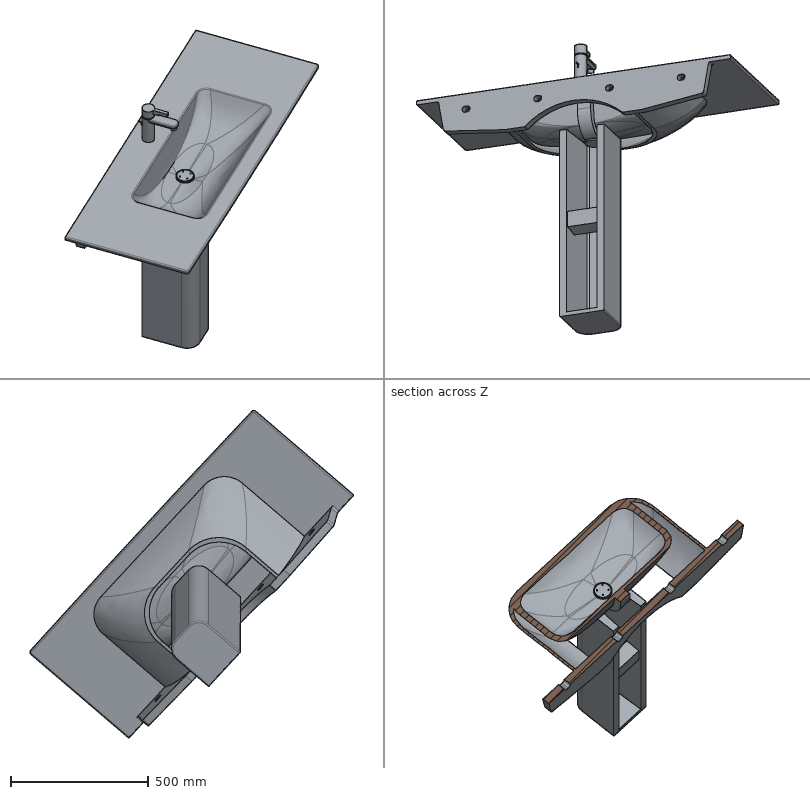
import cadquery as cq
import math


TOTAL_HEIGHT = 1042.0
DECK_LENGTH = 1230.0
DECK_DEPTH_MIDDLE = 490.0
DECK_DEPTH_ENDS = 486.0
DECK_TOP = 893.0
DECK_THICKNESS = 16.0
DECK_CORNER_RADIUS = 10.0
DECK_EDGE_ROUND = 5.0
DECK_BOTTOM = DECK_TOP - DECK_THICKNESS

BASIN_BOTTOM = 730.0

APRON_THICKNESS = 31.0
APRON_HALF_TOP = 529.0
APRON_HALF_LOW = 508.0
APRON_CORNER_Z = 759.0
APRON_CORNER_RADIUS = 9.0
APRON_HALF_FLAT = 268.0
ARCH_HALF_WIDTH = 191.0
ARCH_TOP = 805.0

MOUNT_HOLE_LENGTH = 30.0
MOUNT_HOLE_HEIGHT = 23.0
MOUNT_HOLE_Z = 833.0
MOUNT_HOLE_PITCH = 280.0
MOUNT_HOLE_COUNT = 4

DRAIN_X = 215.0
BOWL_BACK = 137.0
BOWL_FRONT = 426.0
BOWL_HALF_LENGTH = 336.0
BOWL_CORNER = 37.0
BOWL_OVAL_Z = 776.0
BOWL_FLOOR = 755.0
BOWL_WALL = 12.0
BOWL_WALL_BELOW = 12.0
SKIRT_WALL = 12.0
RIM_ROUND = 5.0

DRAIN_RING_DIAMETER = 66.0
DRAIN_PLUG_DIAMETER = 60.0
DRAIN_RING_HEIGHT = 7.0
DRAIN_PLUG_RISE = 6.0
PLUG_HOLE_DIAMETER = 4.0
PLUG_HOLE_PITCH = 30.0
DRAIN_BOSS_DIAMETER = 74.0
DRAIN_BOSS_BOTTOM = 715.0
OVERFLOW_WIDTH = 52.0
OVERFLOW_BACK = 105.0
OVERFLOW_BOTTOM = 721.0
OVERFLOW_BEND_TOP = 812.0
OVERFLOW_BEND_END = 172.0
OVERFLOW_BEND_RADIUS = 86.0

PEDESTAL_BACK = 81.0
PEDESTAL_FRONT = 289.0
PEDESTAL_WIDTH = 175.0
PEDESTAL_FRONT_ROUND = 52.0
PEDESTAL_FOOT_ROUND = 5.0
PEDESTAL_FRONT_WALL = 30.0
PEDESTAL_OPENING_HALF = 59.0
PEDESTAL_INNER_HALF = 48.0
PEDESTAL_INNER_BEVEL = 7.0
PEDESTAL_FLOOR_BACK = 15.0
PEDESTAL_FLOOR_FRONT = 25.0
SHELF_BACK = 90.0
SHELF_DEPTH = 57.0
SHELF_Z = 381.0
SHELF_HEIGHT_BACK = 60.0
SHELF_HEIGHT_FRONT = 84.0

FAUCET_X = 70.0
FAUCET_DIAMETER = 45.0
FAUCET_TOP = 1004.0
NECK_DIAMETER = 42.0
NECK_HEIGHT = 4.0
HANDLE_DIAMETER = FAUCET_DIAMETER
LEVER_END = 146.0
LEVER_WIDTH = 12.0
LEVER_THICKNESS = 15.0
LEVER_RIB_END = 113.0
LEVER_RIB_HEIGHT = 4.0
SPOUT_END = 187.0
SPOUT_WIDTH = 42.0
SPOUT_HEIGHT = 20.0
SPOUT_CORNER_RADIUS = 20.0
SPOUT_TOP_ROUND = 4.0
SPOUT_LOWER_BEVEL = 7.0
AERATOR_X = 169.0
AERATOR_DIAMETER = 23.0
AERATOR_DROP = 10.0
AERATOR_DEPTH = 6.0
AERATOR_TILT = 20.0
ROD_DIAMETER = 4.0
ROD_Z = 963.0
ROD_END = 31.0
ROD_LUG_X = 44.0
ROD_LUG_DROP = 12.0


def rounded_outline(back, front, half_width, corner_x, corner_y, z):
    """A horizontal rectangle, centred on Y, with elliptical corners."""
    inner_y = half_width - corner_y
    inner_back = back + corner_x
    inner_front = front - corner_x

    def corner(x, y, start):
        return cq.Edge.makeEllipse(
            corner_x, corner_y, cq.Vector(x, y, z), angle1=start, angle2=start + 90
        )

    def side(x1, y1, x2, y2):
        return cq.Edge.makeLine(cq.Vector(x1, y1, z), cq.Vector(x2, y2, z))

    edges = [
        side(front, -inner_y, front, inner_y),
        corner(inner_front, inner_y, 0),
        side(inner_front, half_width, inner_back, half_width),
        corner(inner_back, inner_y, 90),
        side(back, inner_y, back, -inner_y),
        corner(inner_back, -inner_y, 180),
        side(inner_back, -half_width, inner_front, -half_width),
        corner(inner_front, -inner_y, 270),
    ]
    return cq.Wire.assembleEdges(edges)


def bowl_shape(wall, drop):
    """Bowl hollow, grown sideways by `wall` and lowered by `drop`."""
    drain_radius = DRAIN_RING_DIAMETER / 2
    drain_back = DRAIN_X - drain_radius
    drain_front = DRAIN_X + drain_radius
    drain_corner = drain_radius - 1.0
    sections = [
        (BOWL_BACK, BOWL_FRONT, BOWL_HALF_LENGTH, BOWL_CORNER, BOWL_CORNER, DECK_TOP),
        (143.0, 400.0, 308.0, 47.0, 47.0, 853.0 - drop),
        (156.0, 293.0, 173.0, 64.0, 154.0, BOWL_OVAL_Z - drop),
        (drain_back, drain_front, drain_radius, drain_corner, drain_corner, BOWL_FLOOR - drop),
    ]
    outlines = [
        rounded_outline(back - wall, front + wall, half + wall, corner_x + wall, corner_y + wall, z)
        for back, front, half, corner_x, corner_y, z in sections
    ]
    walls = cq.Workplane(cq.Solid.makeLoft(outlines[:3]))
    floor = cq.Workplane(cq.Solid.makeLoft(outlines[2:], True))
    return walls.union(floor)


def skirt_outline(front, half_width, corner, z):
    """A horizontal rectangle against the apron with its two front corners rounded."""
    outline = (
        cq.Workplane("XY", origin=(0, 0, z))
        .moveTo(APRON_THICKNESS, -half_width)
        .lineTo(front - corner, -half_width)
        .radiusArc((front, corner - half_width), -corner)
        .lineTo(front, half_width - corner)
        .radiusArc((front - corner, half_width), -corner)
        .lineTo(APRON_THICKNESS, half_width)
        .close()
    )
    return outline.val()


def skirt_shape(wall):
    """Outer shell below the deck, moved inward by `wall`."""
    sections = [
        (432.0, 381.0, 98.0, DECK_BOTTOM),
        (395.0, 332.0, 123.0, 800.0),
        (338.0, 240.0, 148.0, BASIN_BOTTOM),
    ]
    outlines = [
        skirt_outline(front - wall, half - wall, corner, z) for front, half, corner, z in sections
    ]
    return cq.Workplane(cq.Solid.makeLoft(outlines))


def make_deck():
    half = DECK_LENGTH / 2
    deck = (
        cq.Workplane("XY", origin=(0, 0, DECK_BOTTOM))
        .moveTo(0, -half)
        .lineTo(DECK_DEPTH_ENDS, -half)
        .threePointArc((DECK_DEPTH_MIDDLE, 0), (DECK_DEPTH_ENDS, half))
        .lineTo(0, half)
        .close()
        .extrude(DECK_THICKNESS)
    )
    deck = deck.edges("|Z").edges(">X").fillet(DECK_CORNER_RADIUS)
    return deck.faces(">Z or <Z").edges("not <X").fillet(DECK_EDGE_ROUND)


def cross_edges_at(half_width, z):
    """Selector of the edges that cross the apron's thickness at both ends."""
    reach = 2.0
    ends = [
        cq.selectors.BoxSelector(
            (0, y - reach, z - reach), (APRON_THICKNESS, y + reach, z + reach)
        )
        for y in (-half_width, half_width)
    ]
    return ends[0] + ends[1]


def make_apron():
    apron = (
        cq.Workplane("YZ")
        .moveTo(-APRON_HALF_TOP, DECK_BOTTOM)
        .lineTo(-APRON_HALF_LOW, APRON_CORNER_Z)
        .lineTo(-APRON_HALF_FLAT, BASIN_BOTTOM)
        .lineTo(-ARCH_HALF_WIDTH, BASIN_BOTTOM)
        .threePointArc((0, ARCH_TOP), (ARCH_HALF_WIDTH, BASIN_BOTTOM))
        .lineTo(APRON_HALF_FLAT, BASIN_BOTTOM)
        .lineTo(APRON_HALF_LOW, APRON_CORNER_Z)
        .lineTo(APRON_HALF_TOP, DECK_BOTTOM)
        .close()
        .extrude(APRON_THICKNESS)
    )
    return apron.edges(cross_edges_at(APRON_HALF_LOW, APRON_CORNER_Z)).fillet(APRON_CORNER_RADIUS)


def make_mount_holes():
    first = -(MOUNT_HOLE_COUNT - 1) / 2 * MOUNT_HOLE_PITCH
    places = [(first + i * MOUNT_HOLE_PITCH, MOUNT_HOLE_Z) for i in range(MOUNT_HOLE_COUNT)]
    return (
        cq.Workplane("YZ")
        .pushPoints(places)
        .slot2D(MOUNT_HOLE_LENGTH, MOUNT_HOLE_HEIGHT)
        .extrude(APRON_THICKNESS)
    )


def make_overflow_duct():
    """Channel that curves from the back of the bowl down to the drain boss."""
    return (
        cq.Workplane("XZ", origin=(0, OVERFLOW_WIDTH / 2, 0))
        .moveTo(DRAIN_X, DECK_BOTTOM)
        .lineTo(OVERFLOW_BACK, DECK_BOTTOM)
        .lineTo(OVERFLOW_BACK, OVERFLOW_BEND_TOP)
        .radiusArc((OVERFLOW_BEND_END, OVERFLOW_BOTTOM), -OVERFLOW_BEND_RADIUS)
        .lineTo(DRAIN_X, OVERFLOW_BOTTOM)
        .close()
        .extrude(OVERFLOW_WIDTH)
    )


def make_basin():
    boss = (
        cq.Workplane("XY", origin=(DRAIN_X, 0, DRAIN_BOSS_BOTTOM))
        .circle(DRAIN_BOSS_DIAMETER / 2)
        .extrude(BOWL_FLOOR - DRAIN_BOSS_BOTTOM)
    )
    thick_bowl = bowl_shape(BOWL_WALL, BOWL_WALL_BELOW)
    hollow = skirt_shape(SKIRT_WALL).cut(thick_bowl)
    underside = skirt_shape(0).cut(hollow)
    basin = make_deck().union(make_apron().cut(make_mount_holes()))
    basin = basin.edges(cross_edges_at(APRON_HALF_TOP, DECK_BOTTOM)).fillet(APRON_CORNER_RADIUS)
    basin = basin.union(underside).union(boss).union(make_overflow_duct())
    basin = basin.cut(bowl_shape(0, 0))
    reach = 2.0
    rim_edges = cq.selectors.BoxSelector(
        (BOWL_BACK - reach, -BOWL_HALF_LENGTH - reach, DECK_TOP - reach),
        (BOWL_FRONT + reach, BOWL_HALF_LENGTH + reach, DECK_TOP + reach),
    )
    return basin.edges(rim_edges).fillet(RIM_ROUND)


def make_drain_ring():
    return (
        cq.Workplane("XY", origin=(DRAIN_X, 0, BOWL_FLOOR))
        .circle(DRAIN_RING_DIAMETER / 2)
        .circle(DRAIN_PLUG_DIAMETER / 2)
        .extrude(DRAIN_RING_HEIGHT)
    )


def make_drain_plug():
    """Domed plug that fills the drain ring, with four small holes through it."""
    radius = DRAIN_PLUG_DIAMETER / 2
    crown = DRAIN_RING_HEIGHT + DRAIN_PLUG_RISE
    dome_radius = (radius**2 + DRAIN_PLUG_RISE**2) / (2 * DRAIN_PLUG_RISE)
    half_way_drop = dome_radius - math.sqrt(dome_radius**2 - (radius / 2) ** 2)
    plug = (
        cq.Workplane("XZ", origin=(DRAIN_X, 0, BOWL_FLOOR))
        .lineTo(radius, 0)
        .lineTo(radius, DRAIN_RING_HEIGHT)
        .threePointArc((radius / 2, crown - half_way_drop), (0, crown))
        .close()
        .revolve(360, (0, 0, 0), (0, 1, 0))
    )
    holes = (
        cq.Workplane("XY", origin=(DRAIN_X, 0, BOWL_FLOOR))
        .rarray(PLUG_HOLE_PITCH, PLUG_HOLE_PITCH, 2, 2)
        .circle(PLUG_HOLE_DIAMETER / 2)
        .extrude(crown)
    )
    return plug.cut(holes)


def make_pedestal_hollow():
    inner_front = PEDESTAL_FRONT - PEDESTAL_FRONT_WALL
    bevel_start = inner_front - PEDESTAL_INNER_BEVEL
    front_half = PEDESTAL_INNER_HALF - PEDESTAL_INNER_BEVEL
    hollow = (
        cq.Workplane("XY")
        .moveTo(PEDESTAL_BACK, -PEDESTAL_OPENING_HALF)
        .lineTo(bevel_start, -PEDESTAL_INNER_HALF)
        .lineTo(inner_front, -front_half)
        .lineTo(inner_front, front_half)
        .lineTo(bevel_start, PEDESTAL_INNER_HALF)
        .lineTo(PEDESTAL_BACK, PEDESTAL_OPENING_HALF)
        .close()
        .extrude(BASIN_BOTTOM)
    )
    sloped_floor = (
        cq.Workplane("XZ")
        .moveTo(PEDESTAL_BACK, 0)
        .lineTo(PEDESTAL_BACK, PEDESTAL_FLOOR_BACK)
        .lineTo(inner_front, PEDESTAL_FLOOR_FRONT)
        .lineTo(inner_front, 0)
        .close()
        .extrude(PEDESTAL_OPENING_HALF, both=True)
    )
    return hollow.cut(sloped_floor)


def make_shelf():
    """Crossbar between the side walls, thicker towards the front."""
    shelf_front = SHELF_BACK + SHELF_DEPTH
    return (
        cq.Workplane("XZ")
        .moveTo(SHELF_BACK, SHELF_Z - SHELF_HEIGHT_BACK / 2)
        .lineTo(shelf_front, SHELF_Z - SHELF_HEIGHT_FRONT / 2)
        .lineTo(shelf_front, SHELF_Z + SHELF_HEIGHT_FRONT / 2)
        .lineTo(SHELF_BACK, SHELF_Z + SHELF_HEIGHT_BACK / 2)
        .close()
        .extrude(PEDESTAL_OPENING_HALF, both=True)
    )


def make_pedestal():
    column = (
        cq.Workplane("XY")
        .box(PEDESTAL_FRONT - PEDESTAL_BACK, PEDESTAL_WIDTH, BASIN_BOTTOM, centered=(False, True, False))
        .translate((PEDESTAL_BACK, 0, 0))
        .edges("|Z and >X")
        .fillet(PEDESTAL_FRONT_ROUND)
    )
    column = column.faces("<Z").edges("not <X").fillet(PEDESTAL_FOOT_ROUND)
    return column.cut(make_pedestal_hollow()).union(make_shelf())


def cylinder_on_faucet(diameter, bottom, top):
    return (
        cq.Workplane("XY", origin=(FAUCET_X, 0, bottom))
        .circle(diameter / 2)
        .extrude(top - bottom)
    )


def make_aerator():
    """Short tilted cylinder set into the underside of the spout tip."""
    return (
        cq.Workplane("XY")
        .circle(AERATOR_DIAMETER / 2)
        .extrude(AERATOR_DROP + AERATOR_DEPTH)
        .translate((0, 0, -AERATOR_DROP))
        .rotate((0, 0, 0), (0, 1, 0), -AERATOR_TILT)
        .translate((AERATOR_X, 0, FAUCET_TOP - SPOUT_HEIGHT))
    )


def make_faucet_body():
    column = cylinder_on_faucet(FAUCET_DIAMETER, DECK_TOP, FAUCET_TOP)
    neck = cylinder_on_faucet(NECK_DIAMETER, FAUCET_TOP, FAUCET_TOP + NECK_HEIGHT)
    spout = (
        cq.Workplane("XY", origin=(FAUCET_X, 0, FAUCET_TOP - SPOUT_HEIGHT))
        .box(SPOUT_END - FAUCET_X, SPOUT_WIDTH, SPOUT_HEIGHT, centered=(False, True, False))
        .edges("|Z and >X")
        .fillet(SPOUT_CORNER_RADIUS)
    )
    spout = spout.faces("<Z").edges("not <X").chamfer(SPOUT_HEIGHT / 2, SPOUT_LOWER_BEVEL)
    spout = spout.faces(">Z").edges("not <X").fillet(SPOUT_TOP_ROUND)
    return column.union(spout).union(neck).cut(make_aerator())


def make_handle():
    lever_bottom = TOTAL_HEIGHT - LEVER_THICKNESS
    cap = cylinder_on_faucet(HANDLE_DIAMETER, FAUCET_TOP + NECK_HEIGHT, TOTAL_HEIGHT)
    lever = (
        cq.Workplane("XY", origin=(FAUCET_X, 0, lever_bottom))
        .box(LEVER_END - FAUCET_X, LEVER_WIDTH, LEVER_THICKNESS, centered=(False, True, False))
    )
    rib = (
        cq.Workplane("XY", origin=(FAUCET_X, 0, lever_bottom - LEVER_RIB_HEIGHT))
        .box(LEVER_RIB_END - FAUCET_X, LEVER_WIDTH, LEVER_RIB_HEIGHT, centered=(False, True, False))
    )
    return cap.union(lever).union(rib)


def make_pull_rod():
    """Pin behind the faucet that lifts the drain plug."""
    rod = (
        cq.Workplane("YZ", origin=(ROD_END, 0, ROD_Z))
        .circle(ROD_DIAMETER / 2)
        .extrude(FAUCET_X - ROD_END)
    )
    lug = (
        cq.Workplane("XY", origin=(ROD_LUG_X, 0, ROD_Z - ROD_LUG_DROP))
        .circle(ROD_DIAMETER / 2)
        .extrude(ROD_LUG_DROP)
    )
    return rod.union(lug).cut(cylinder_on_faucet(FAUCET_DIAMETER, DECK_TOP, FAUCET_TOP))


basin = make_basin()
drain_ring = make_drain_ring()
drain_plug = make_drain_plug()
pedestal = make_pedestal()
faucet_body = make_faucet_body()
aerator = make_aerator()
handle = make_handle()
pull_rod = make_pull_rod()

result = cq.Compound.makeCompound(
    [
        basin.val(),
        drain_ring.val(),
        drain_plug.val(),
        pedestal.val(),
        faucet_body.val(),
        aerator.val(),
        handle.val(),
        pull_rod.val(),
    ]
)